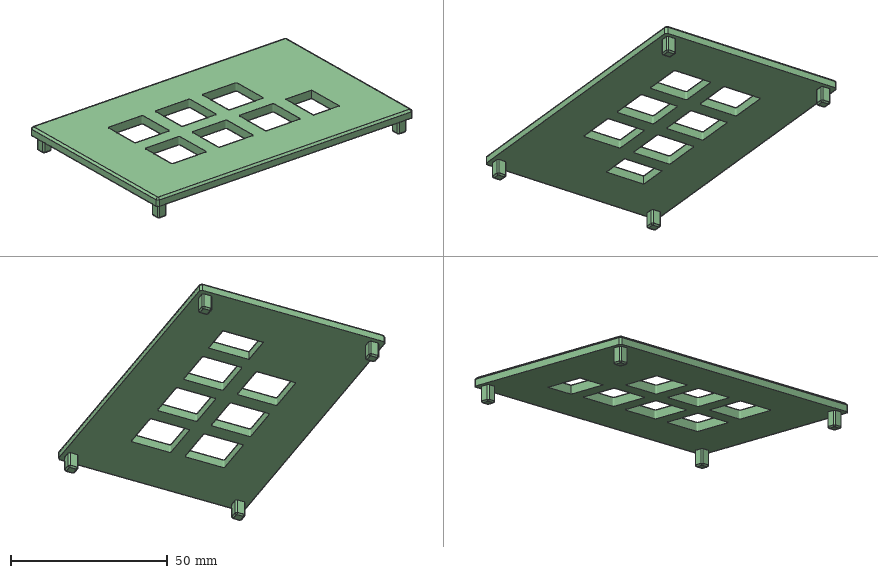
import cadquery as cq

PLATE_X = 65.8
PLATE_Y = 103.8
TOTAL_HEIGHT = 8.4
PLATE_THICKNESS = 3.0
PLATE_CHAMFER = 0.7

KEY_SIZE = 14.0
KEY_BLOCK_Y = 52.1
KEY_CORNER_RADIUS = 0.5
KEY_MARGIN = 16.0
LEFT_COLUMN_X = -PLATE_X / 2 + KEY_MARGIN + KEY_SIZE / 2
BOTTOM_ROW_Y = -25.8
KEY_COLUMNS = 2
KEY_ROWS = 3
KEY_PITCH = (KEY_BLOCK_Y - KEY_SIZE) / (KEY_ROWS - 1)

WINDOW_X = 14.3
WINDOW_Y = 10.5
WINDOW_CENTER_X = 9.3
WINDOW_CENTER_Y = 29.5

FOOT_SIZE = 3.5
FOOT_CHAMFER = 0.5
FOOT_SPACING_X = 59.2
FOOT_HEIGHT = TOTAL_HEIGHT - PLATE_THICKNESS
FOOT_INSET = (PLATE_X - FOOT_SPACING_X) / 2
FOOT_X = PLATE_X / 2 - FOOT_INSET
FOOT_Y = PLATE_Y / 2 - FOOT_INSET


def plate_opening(size_x, size_y, center_x, center_y):
    """Box that cuts through the full thickness of the plate."""
    return (
        cq.Workplane("XY", origin=(center_x, center_y, FOOT_HEIGHT))
        .rect(size_x, size_y)
        .extrude(PLATE_THICKNESS)
    )


def make_plate():
    """Plate with chamfered upright corners and top rim, and all its openings."""
    plate = (
        cq.Workplane("XY", origin=(0, 0, FOOT_HEIGHT))
        .rect(PLATE_X, PLATE_Y)
        .extrude(PLATE_THICKNESS)
        .edges("|Z")
        .chamfer(PLATE_CHAMFER)
        .faces(">Z")
        .edges()
        .chamfer(PLATE_CHAMFER)
    )
    for column in range(KEY_COLUMNS):
        for row in range(KEY_ROWS):
            key_x = LEFT_COLUMN_X + column * KEY_PITCH
            key_y = BOTTOM_ROW_Y + row * KEY_PITCH
            key_opening = plate_opening(KEY_SIZE, KEY_SIZE, key_x, key_y)
            plate = plate.cut(key_opening.edges("|Z").fillet(KEY_CORNER_RADIUS))
    return plate.cut(plate_opening(WINDOW_X, WINDOW_Y, WINDOW_CENTER_X, WINDOW_CENTER_Y))


def make_foot(center_x, center_y):
    """Square post with chamfered upright edges and bottom rim; its flat top meets the plate."""
    return (
        cq.Workplane("XY", origin=(center_x, center_y, 0))
        .rect(FOOT_SIZE, FOOT_SIZE)
        .extrude(FOOT_HEIGHT)
        .edges("|Z")
        .chamfer(FOOT_CHAMFER)
        .faces("<Z")
        .edges()
        .chamfer(FOOT_CHAMFER)
    )


plate = make_plate()

feet = []
for foot_x in (-FOOT_X, FOOT_X):
    for foot_y in (-FOOT_Y, FOOT_Y):
        feet.append(make_foot(foot_x, foot_y).val())

result = cq.Compound.makeCompound([plate.val(), *feet])